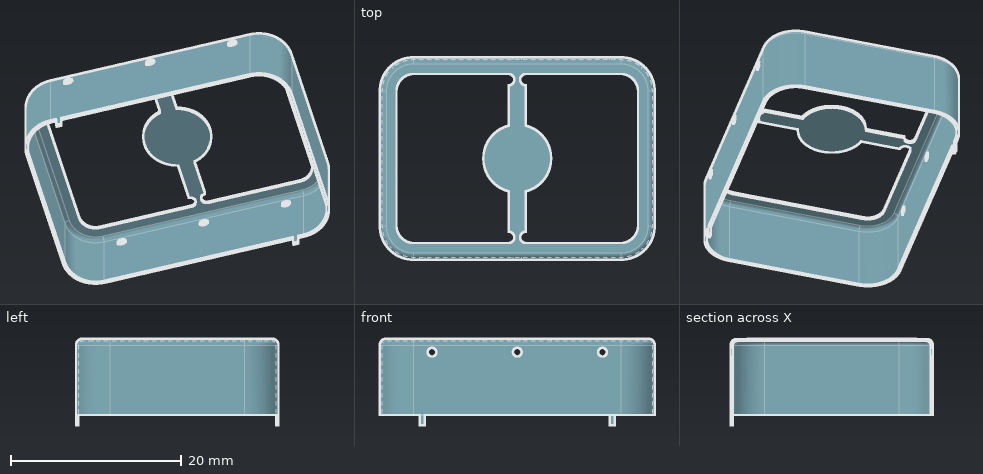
import cadquery as cq

length = 32.3
width = 23.8
wall_height = 9.0
sheet = 0.3
corner_radius = 4.0
bend_radius = 0.8

rim_width = 2.0
opening_length = length - 2 * rim_width
opening_width = width - 2 * rim_width
opening_radius = corner_radius - rim_width

disc_diameter = 8.0
bar_width = 2.0
notch_radius = 0.65

hole_diameter = 1.0
hole_spacing = 10.0
hole_count = 3
hole_depth_from_top = 1.6

pin_width = 0.6
pin_length = 1.2
pin_spacing = 22.3


def rounded_block(size_x, size_y, height, radius):
    """Block standing on Z = 0 with rounded vertical edges."""
    block = cq.Workplane("XY").box(size_x, size_y, height, centered=(True, True, False))
    return block.edges("|Z").fillet(radius)


def make_shell():
    """Open-bottomed cover with a bent top edge of constant sheet thickness."""
    outer = rounded_block(length, width, wall_height, corner_radius)
    outer = outer.faces(">Z").edges().fillet(bend_radius)
    inner = rounded_block(
        length - 2 * sheet, width - 2 * sheet, wall_height - sheet, corner_radius - sheet
    )
    inner = inner.faces(">Z").edges().fillet(bend_radius - sheet)
    return outer.cut(inner)


def make_bridge():
    """Flat bar and disc, narrowed to a neck by notches centred on the bar edges."""
    plate = cq.Workplane("XY").workplane(offset=wall_height - sheet)
    bar = plate.rect(bar_width, opening_width).extrude(sheet)
    disc = plate.circle(disc_diameter / 2).extrude(sheet)
    notch_pitch = opening_width - 2 * notch_radius
    notch_centers = plate.rarray(bar_width, notch_pitch, 2, 2)
    notches = notch_centers.circle(notch_radius).extrude(sheet)
    return bar.union(disc).cut(notches)


def make_opening():
    """Cutter for the rounded opening in the top."""
    cutter = rounded_block(opening_length, opening_width, wall_height, opening_radius)
    return cutter.translate((0, 0, wall_height / 2))


def make_holes():
    """Row of vent-hole cutters running through both long walls."""
    wall_plane = cq.Workplane("XZ").center(0, wall_height - hole_depth_from_top)
    row = wall_plane.rarray(hole_spacing, 1, hole_count, 1)
    return row.circle(hole_diameter / 2).extrude(width, both=True)


def make_pins():
    """Two diagonally opposite pins continuing the long walls downward."""
    pin_x = pin_spacing / 2
    pin_y = (width - sheet) / 2
    pins = cq.Workplane("XY").pushPoints([(-pin_x, -pin_y), (pin_x, pin_y)])
    return pins.rect(pin_width, sheet).extrude(-pin_length)


result = make_shell().cut(make_opening()).cut(make_holes())
result = result.union(make_bridge()).union(make_pins())